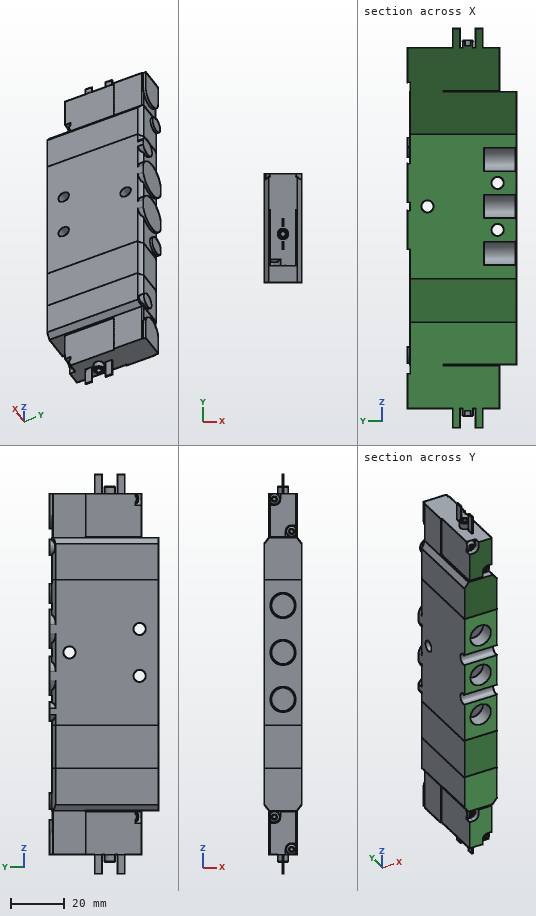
import cadquery as cq

width = 14.0
depth = 40.4
half_width = width / 2

back_y = 39.5
bevel_y = 38.15
rear_face_half = 5.0
bevel_mid = (5.85, 38.65)

stack_end_z = 50.6
cap_length = 15.65
spacer_length = 16.1
cap_start_z = stack_end_z - cap_length
main_bottom_z = -cap_start_z + spacer_length
main_length = cap_start_z - main_bottom_z
main_center_z = (cap_start_z + main_bottom_z) / 2

port_pitch = 17.4
port_diameter = 8.57
port_depth = 12.0
port_chamfer = 0.45
rear_port_boss_diameter = 14.46
override_boss_diameter = 7.2
override_boss_x = 3.6
override_boss_offset_z = 21.9
mount_hole_diameter = 4.4
front_mount_y = 7.0
rear_mount_y = 33.0

cap_chamfer_x = 1.8
cap_chamfer_z = 2.3
cap_boss_diameter = 6.0
cap_boss_x = -3.4
cap_boss_z = 47.0

pilot_top_z = 66.9
pilot_back_y = 39.4
pilot_half_width = 5.2
pilot_edge_chamfer = 0.45
connector_front_y = 6.3
connector_back_y = 27.0
connector_half_width = 4.75
connector_gap = 0.3

pad_radius = 4.9
pad_arc_z = 58.8

post_y = 18.05
post_diameter = 4.0
post_height = 2.75
post_chamfer = 0.4
post_hole_diameter = 2.0
post_hole_depth = 2.0
prong_offset_y = 4.22
prong_width = 2.8
prong_thickness = 0.5
prong_tip_z = 74.0

screw_x = 3.2
screw_offset_z = 6.0
screw_center_z = 58.9
pocket_diameter = 4.55
pocket_depth = 2.3
screw_base_diameter = 4.0
screw_tip_diameter = 2.0
screw_height = 1.1
screw_hole_diameter = 1.57


def box(x_range, y_range, z_range):
    """Box given by its limits along each axis."""
    (x0, x1), (y0, y1), (z0, z1) = x_range, y_range, z_range
    return cq.Workplane("XY").box(x1 - x0, y1 - y0, z1 - z0, centered=False).translate((x0, y0, z0))


def y_cylinder(diameter, x, z, y_start, y_end):
    """Cylinder along Y between two Y positions."""
    axis = cq.Vector(0, 1, 0)
    start = cq.Vector(x, y_start, z)
    return cq.Workplane(cq.Solid.makeCylinder(diameter / 2, y_end - y_start, start, axis))


def stack_section(z_start, length):
    """Length of the valve stack: flat front and sides, hollow bevels along the rear edges."""
    mid_x, mid_y = bevel_mid
    return (
        cq.Workplane("XY", origin=(0, 0, z_start))
        .moveTo(-half_width, 0)
        .lineTo(half_width, 0)
        .lineTo(half_width, bevel_y)
        .threePointArc((mid_x, mid_y), (rear_face_half, back_y))
        .lineTo(-rear_face_half, back_y)
        .threePointArc((-mid_x, mid_y), (-half_width, bevel_y))
        .close()
        .extrude(length)
    )


def port_cutter(z):
    """Blind port bored from the front face, with a chamfered mouth."""
    bore = y_cylinder(port_diameter, 0, z, 0, port_depth)
    radius = port_diameter / 2
    mouth = cq.Solid.makeCone(
        radius + port_chamfer, radius, port_chamfer, cq.Vector(0, 0, z), cq.Vector(0, 1, 0)
    )
    return bore.union(cq.Workplane(mouth))


def rear_bosses():
    """Two large port bosses cut flush with the sides, and two diagonally opposed override bosses."""
    bosses = cq.Workplane("XY")
    for side in (-1, 1):
        port_z = main_center_z + side * port_pitch / 2
        override_z = main_center_z + side * override_boss_offset_z
        bosses = bosses.union(y_cylinder(rear_port_boss_diameter, 0, port_z, bevel_y, depth))
        bosses = bosses.union(
            y_cylinder(override_boss_diameter, side * override_boss_x, override_z, bevel_y, depth)
        )
    envelope = box((-half_width, half_width), (0, depth), (main_bottom_z, cap_start_z))
    return bosses.intersect(envelope)


def make_main_body():
    body = stack_section(main_bottom_z, main_length).union(rear_bosses())
    for step in (-1, 0, 1):
        body = body.cut(port_cutter(main_center_z + step * port_pitch))
    mount_holes = [
        (front_mount_y, main_center_z + port_pitch / 2),
        (front_mount_y, main_center_z - port_pitch / 2),
        (rear_mount_y, main_center_z),
    ]
    cutters = (
        cq.Workplane("YZ", origin=(-half_width, 0, 0))
        .pushPoints(mount_holes)
        .circle(mount_hole_diameter / 2)
        .extrude(width)
    )
    return body.cut(cutters)


def make_spacer():
    return stack_section(-cap_start_z, spacer_length)


def end_cap():
    """End of the stack with both outer edges chamfered and a small rear boss."""
    shoulder_z = stack_end_z - cap_chamfer_z
    top_half = half_width - cap_chamfer_x
    outline = (
        cq.Workplane("XZ")
        .polyline([
            (-half_width, cap_start_z),
            (half_width, cap_start_z),
            (half_width, shoulder_z),
            (top_half, stack_end_z),
            (-top_half, stack_end_z),
            (-half_width, shoulder_z),
        ])
        .close()
        .extrude(-depth)
    )
    boss = y_cylinder(cap_boss_diameter, cap_boss_x, cap_boss_z, bevel_y, depth)
    return stack_section(cap_start_z, cap_length).intersect(outline).union(boss)


def pilot_housing():
    """Rear housing with chamfered rear edges and a raised pad that ends in a half circle."""
    housing = box(
        (-pilot_half_width, pilot_half_width), (connector_back_y, pilot_back_y), (stack_end_z, pilot_top_z)
    )
    housing = housing.edges("|Z and >Y").chamfer(pilot_edge_chamfer)
    pad_start_y = pilot_back_y - pilot_edge_chamfer
    pad = (
        cq.Workplane("XZ", origin=(0, pad_start_y, 0))
        .moveTo(-pad_radius, pilot_top_z)
        .lineTo(-pad_radius, pad_arc_z)
        .threePointArc((0, pad_arc_z - pad_radius), (pad_radius, pad_arc_z))
        .lineTo(pad_radius, pilot_top_z)
        .close()
        .extrude(pad_start_y - depth)
    )
    return housing.union(pad)


def screw_pocket(side):
    """Round-cornered pocket open to one side and to the near end of the connector."""
    x = side * screw_x
    z = screw_center_z - side * screw_offset_z
    radius = pocket_diameter / 2
    y_range = (connector_front_y, connector_front_y + pocket_depth)
    outer_x = side * connector_half_width
    end_z = pilot_top_z if side < 0 else stack_end_z + connector_gap
    pocket = y_cylinder(pocket_diameter, x, z, *y_range)
    side_opening = box(sorted((x, outer_x)), y_range, sorted((z + side * radius, end_z)))
    end_opening = box(sorted((x - side * radius, outer_x)), y_range, sorted((z, end_z)))
    return pocket.union(side_opening).union(end_opening)


def screw_head(side):
    """Conical screw head on the pocket floor, with a round socket."""
    x = side * screw_x
    z = screw_center_z - side * screw_offset_z
    floor_y = connector_front_y + pocket_depth
    tip_y = floor_y - screw_height
    cone = cq.Solid.makeCone(
        screw_tip_diameter / 2, screw_base_diameter / 2, screw_height,
        cq.Vector(x, tip_y, z), cq.Vector(0, 1, 0),
    )
    return cq.Workplane(cone).cut(y_cylinder(screw_hole_diameter, x, z, tip_y, floor_y))


def connector():
    """Front part of the pilot, standing clear of the end cap, with two corner screws."""
    limits = box(
        (-connector_half_width, connector_half_width),
        (connector_front_y, connector_back_y),
        (stack_end_z + connector_gap, pilot_top_z),
    )
    block = limits
    for side in (-1, 1):
        block = block.cut(screw_pocket(side))
        block = block.union(screw_head(side).intersect(limits))
    return block


def contacts():
    """Two flat prongs on either side of a hollow centre post."""
    post = (
        cq.Workplane("XY", origin=(0, post_y, pilot_top_z))
        .circle(post_diameter / 2)
        .extrude(post_height)
        .faces(">Z")
        .chamfer(post_chamfer)
        .faces(">Z")
        .workplane()
        .hole(post_hole_diameter, post_hole_depth)
    )
    prongs = (
        cq.Workplane("XY", origin=(0, post_y, pilot_top_z))
        .pushPoints([(0, -prong_offset_y), (0, prong_offset_y)])
        .rect(prong_thickness, prong_width)
        .extrude(prong_tip_z - pilot_top_z)
    )
    return post.union(prongs)


def make_pilot_head(turn):
    """Pilot head at the +Z end, turned about the Y axis into place."""
    head = end_cap().union(pilot_housing()).union(connector()).union(contacts())
    return head.rotate((0, 0, 0), (0, 1, 0), turn)


main_body = make_main_body()
spacer = make_spacer()
pilot_heads = [make_pilot_head(turn) for turn in (0, 180)]

result = cq.Compound.makeCompound(
    [main_body.val(), spacer.val()] + [head.val() for head in pilot_heads]
)